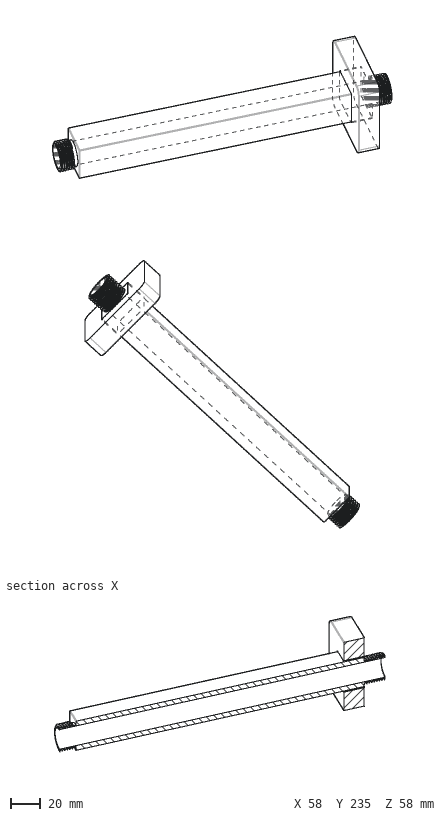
import cadquery as cq

PLATE_SIZE = 58.0
PLATE_THICKNESS = 15.0
PLATE_CORNER_RADIUS = 5.0
PLATE_EDGE_FILLET = 0.5

ARM_SIZE = 25.0
ARM_REACH = 193.0
ARM_EDGE_FILLET = 0.5
ARM_CLEARANCE = 0.5
OPENING_CORNER_RADIUS = ARM_EDGE_FILLET + ARM_CLEARANCE
BORE_DIAMETER = 16.2

THREAD_DIAMETER = 20.955
THREAD_PITCH = 1.814
THREAD_DEPTH = 1.162
ROOT_RADIUS = THREAD_DIAMETER / 2 - THREAD_DEPTH
RIDGE_BASE_WIDTH = 0.7 * THREAD_PITCH
RIDGE_CREST_WIDTH = 0.1 * THREAD_PITCH
RIDGE_OVERLAP = 0.1
THREAD_START_ANGLE = 180.0
INLET_LENGTH = 15.0
OUTLET_LENGTH = 12.0
OUTLET_NECK = 2.0

PLATE_FRONT = -PLATE_THICKNESS
ARM_FRONT = PLATE_FRONT - ARM_REACH
OUTLET_END = ARM_FRONT - OUTLET_LENGTH
TOTAL_LENGTH = INLET_LENGTH - OUTLET_END


def along_y(y):
    """Workplane facing -Y at the given Y, so that extrusions run towards -Y."""
    return cq.Workplane("XZ", origin=(0, y, 0))


def threaded_spigot(start_y, length, neck):
    """Threaded core running towards -Y, plain over the first `neck` millimetres."""
    core = along_y(start_y).circle(ROOT_RADIUS).extrude(length)
    base_radius = ROOT_RADIUS - RIDGE_OVERLAP
    helix = cq.Wire.makeHelix(THREAD_PITCH, length - neck + 2 * THREAD_PITCH, base_radius)
    ridge = (
        cq.Workplane("XZ")
        .moveTo(base_radius, -RIDGE_BASE_WIDTH / 2)
        .lineTo(THREAD_DIAMETER / 2, -RIDGE_CREST_WIDTH / 2)
        .lineTo(THREAD_DIAMETER / 2, RIDGE_CREST_WIDTH / 2)
        .lineTo(base_radius, RIDGE_BASE_WIDTH / 2)
        .close()
        .sweep(cq.Workplane(obj=helix), isFrenet=True)
        .rotate((0, 0, 0), (1, 0, 0), 90)
        .rotate((0, 0, 0), (0, 1, 0), THREAD_START_ANGLE)
        .translate((0, start_y - neck + THREAD_PITCH, 0))
    )
    trim = along_y(start_y - neck).circle(THREAD_DIAMETER).extrude(length - neck)
    return core.union(ridge.intersect(trim))


def make_plate():
    plate = (
        along_y(0)
        .rect(PLATE_SIZE, PLATE_SIZE)
        .extrude(PLATE_THICKNESS)
        .edges("|Y")
        .fillet(PLATE_CORNER_RADIUS)
        .faces("<Y")
        .edges()
        .fillet(PLATE_EDGE_FILLET)
    )
    opening_size = ARM_SIZE + 2 * ARM_CLEARANCE
    opening = (
        along_y(0)
        .rect(opening_size, opening_size)
        .extrude(PLATE_THICKNESS)
        .edges("|Y")
        .fillet(OPENING_CORNER_RADIUS)
    )
    return plate.cut(opening)


def make_arm():
    beam = (
        along_y(0)
        .rect(ARM_SIZE, ARM_SIZE)
        .extrude(-ARM_FRONT)
        .edges("|Y or <Y")
        .fillet(ARM_EDGE_FILLET)
    )
    inlet = threaded_spigot(INLET_LENGTH, INLET_LENGTH, 0)
    outlet = threaded_spigot(ARM_FRONT, OUTLET_LENGTH, OUTLET_NECK)
    bore = along_y(INLET_LENGTH).circle(BORE_DIAMETER / 2).extrude(TOTAL_LENGTH)
    return beam.union(inlet).union(outlet).cut(bore)


plate = make_plate()
arm = make_arm()
result = cq.Compound.makeCompound([plate.val(), arm.val()])